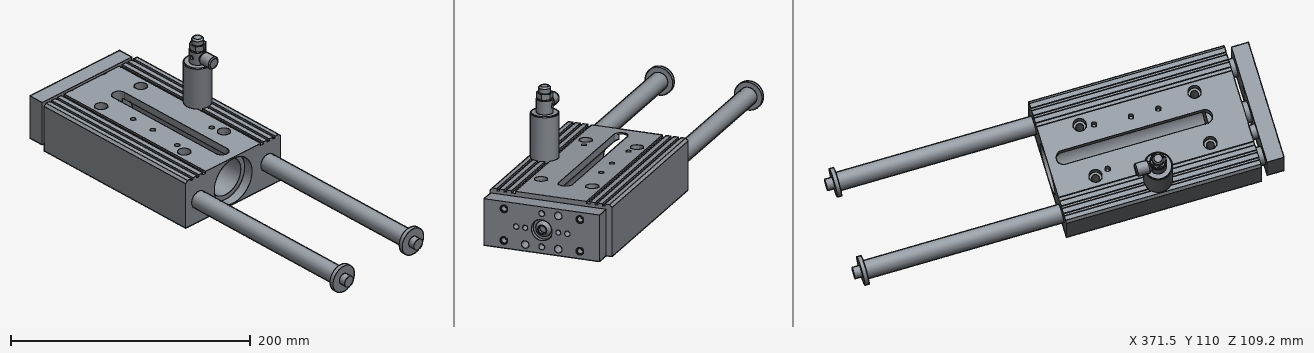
import cadquery as cq


total_length = 371.5
total_height = 109.2
housing_width = 110.0

housing_front_x = 20.5
housing_length = 170.0
housing_height = 46.0
housing_rear_x = housing_front_x + housing_length
axis_z = housing_height / 2
top_edge_chamfer = 2.2
groove_depth = 2.0
top_grooves = [(32.0, 3.5), (39.8, 2.2), (46.5, 2.2)]

bore_diameter = 35.0
bore_front_x = 51.5
rear_bore_diameter = 44.0
rear_bore_front_x = 181.5
slot_front_x = 47.0
slot_rear_x = 182.8
slot_width = 12.3
slot_depth = 9.5

mount_front_x = 55.7
mount_rear_x = 155.5
mount_y = 23.0
mount_hole_diameter = 6.7
mount_bore_diameter = 11.0
mount_bore_depth = 8.0
pin_hole_diameter = 4.5
pin_hole_depth = 8.0
pin_hole_places = [(144.0, 20.0), (144.0, -20.0), (88.8, -18.0), (112.5, -18.0)]

guide_y = 40.0
tower_x = 106.2
tower_y = guide_y
tower_diameter = 24.0
tower_top_z = 86.0
tower_edge_chamfer = 0.7
fitting_diameter = 14.0
fitting_chamfer = 0.7
nut_bottom_z = 98.5
nut_top_z = 103.5
cap_diameter = 10.0
cap_chamfer = 1.5
fitting_hole_diameter = 3.5
fitting_hole_depth = 2.0
outlet_z = 92.0
outlet_neck_diameter = 8.0
outlet_diameter = 11.0
outlet_front_x = 114.5
outlet_rear_x = 126.0
outlet_chamfer = 1.0

rod_diameter = 16.0
rod_z_shift = 1.0
flange_diameter = 25.0
flange_front_x = 361.5
flange_rear_x = 365.0
tip_diameter = 10.0

plate_thickness = 15.0
plate_width = 104.0
plate_height = 41.5
corner_hole_y = 34.0
corner_hole_z = 14.0
corner_hole_diameter = 5.0
corner_sink_diameter = 6.7
corner_sink_depth = 1.0
thread_hole_depth = 8.0
square_pattern = 15.0
screw_hole_diameter = 6.7
vertical_hole_diameter = 5.2
inner_hole_diameter = 4.5
outer_hole_diameter = 5.0
outer_hole_y = 23.0

recess_diameter = 18.5
recess_depth = 4.0
head_diameter = 14.0
head_tip_diameter = 8.0
head_height = 3.0
socket_diameter = 6.7
piston_rod_diameter = 18.5
bumper_diameter = 12.5
bumper_y = 21.0
bumper_z = 34.5


def x_cylinder(x_start, x_end, y, z, diameter):
    """Cylinder along X between two X positions."""
    return (
        cq.Workplane("YZ", origin=(x_start, y, z))
        .circle(diameter / 2)
        .extrude(x_end - x_start)
    )


def z_cylinder(x, y, z_start, z_end, diameter):
    """Cylinder along Z between two heights."""
    return (
        cq.Workplane("XY", origin=(x, y, z_start))
        .circle(diameter / 2)
        .extrude(z_end - z_start)
    )


rod_places = [(guide_y, axis_z + rod_z_shift), (-guide_y, axis_z - rod_z_shift)]


def make_block():
    """Extruded housing profile with chamfered top edges and long grooves."""
    block = (
        cq.Workplane("XY", origin=(housing_front_x, 0, 0))
        .box(housing_length, housing_width, housing_height, centered=(False, True, False))
        .edges("|X and >Z")
        .chamfer(top_edge_chamfer)
    )
    for inner_edge, width in top_grooves:
        for side in (-1, 1):
            groove_y = side * (inner_edge + width / 2)
            groove = (
                cq.Workplane("XY", origin=(housing_front_x, groove_y, housing_height - groove_depth))
                .box(housing_length, width, groove_depth, centered=(False, True, False))
            )
            block = block.cut(groove)
    return block


def make_stop_tower():
    """Stop cylinder with its fitting, hexagon nut, cap and side outlet."""
    foot_z = housing_height - groove_depth
    tower = (
        z_cylinder(tower_x, tower_y, foot_z, tower_top_z, tower_diameter)
        .faces(">Z")
        .chamfer(tower_edge_chamfer)
    )
    fitting = (
        z_cylinder(tower_x, tower_y, tower_top_z, nut_bottom_z, fitting_diameter)
        .faces(">Z")
        .chamfer(fitting_chamfer)
    )
    nut = (
        cq.Workplane("XY", origin=(tower_x, tower_y, nut_bottom_z))
        .polygon(6, fitting_diameter)
        .extrude(nut_top_z - nut_bottom_z)
    )
    cap = (
        z_cylinder(tower_x, tower_y, nut_top_z, total_height, cap_diameter)
        .faces(">Z")
        .chamfer(cap_chamfer)
    )
    outlet_neck = x_cylinder(tower_x, outlet_front_x, tower_y, outlet_z, outlet_neck_diameter)
    outlet = (
        x_cylinder(outlet_front_x, outlet_rear_x, tower_y, outlet_z, outlet_diameter)
        .faces(">X")
        .chamfer(outlet_chamfer)
    )
    for piece in (fitting, nut, cap, outlet_neck, outlet):
        tower = tower.union(piece)

    fitting_hole = (
        cq.Workplane("XZ", origin=(tower_x, tower_y - fitting_diameter / 2, outlet_z))
        .circle(fitting_hole_diameter / 2)
        .extrude(fitting_hole_depth, both=True)
    )
    return tower.cut(fitting_hole)


def cut_bore_and_slot(block):
    """Cylinder bore widened at its open rear end, and the round-ended slot above it."""
    bore = x_cylinder(bore_front_x, housing_rear_x, 0, axis_z, bore_diameter)
    rear_bore = x_cylinder(rear_bore_front_x, housing_rear_x, 0, axis_z, rear_bore_diameter)
    slot_centre_x = (slot_front_x + slot_rear_x) / 2
    slot = (
        cq.Workplane("XY", origin=(slot_centre_x, 0, housing_height - slot_depth))
        .slot2D(slot_rear_x - slot_front_x, slot_width)
        .extrude(slot_depth)
    )
    return block.cut(bore).cut(rear_bore).cut(slot)


def cut_top_holes(block):
    """Counterbored mounting holes and blind pin holes."""
    for x in (mount_front_x, mount_rear_x):
        for y in (-mount_y, mount_y):
            through = z_cylinder(x, y, 0, housing_height, mount_hole_diameter)
            counterbore = z_cylinder(
                x, y, housing_height - mount_bore_depth, housing_height, mount_bore_diameter
            )
            block = block.cut(through).cut(counterbore)
    for x, y in pin_hole_places:
        pin_hole = z_cylinder(
            x, y, housing_height - pin_hole_depth, housing_height, pin_hole_diameter
        )
        block = block.cut(pin_hole)
    return block


def make_housing():
    """Housing block with its tower, bore, slot, holes and rod passages."""
    body = cut_top_holes(cut_bore_and_slot(make_block()))
    body = body.union(make_stop_tower())
    for y, z in rod_places:
        body = body.cut(x_cylinder(housing_front_x, housing_rear_x, y, z, rod_diameter))
    return body


def make_guide_rod(y, z):
    """Guide rod with its end flange and tip."""
    rod = x_cylinder(plate_thickness, flange_front_x, y, z, rod_diameter)
    flange = x_cylinder(flange_front_x, flange_rear_x, y, z, flange_diameter)
    tip = x_cylinder(flange_rear_x, total_length, y, z, tip_diameter)
    return rod.union(flange).union(tip)


def cut_plate_holes(plate):
    """Hole pattern in the front face of the plate."""
    for y in (-corner_hole_y, corner_hole_y):
        for z in (axis_z - corner_hole_z, axis_z + corner_hole_z):
            hole = x_cylinder(0, thread_hole_depth, y, z, corner_hole_diameter)
            sink = x_cylinder(0, corner_sink_depth, y, z, corner_sink_diameter)
            plate = plate.cut(hole).cut(sink)

    for y_side, z_side in ((-1, 1), (-1, -1), (1, -1)):
        y = y_side * square_pattern
        z = axis_z + z_side * square_pattern
        plate = plate.cut(x_cylinder(0, plate_thickness, y, z, screw_hole_diameter))

    for side in (-1, 1):
        thread_holes = [
            (0, side * square_pattern, vertical_hole_diameter),
            (side * square_pattern, 0, inner_hole_diameter),
            (side * outer_hole_y, 0, outer_hole_diameter),
        ]
        for y, z_offset, diameter in thread_holes:
            hole = x_cylinder(0, thread_hole_depth, y, axis_z + z_offset, diameter)
            plate = plate.cut(hole)
    return plate


def add_rod_screw(plate):
    """Central recess holding a conical screw head with a socket."""
    recess = x_cylinder(0, recess_depth, 0, axis_z, recess_diameter)
    head = (
        cq.Workplane("YZ", origin=(recess_depth, 0, axis_z))
        .circle(head_diameter / 2)
        .workplane(offset=-head_height)
        .circle(head_tip_diameter / 2)
        .loft()
    )
    socket = x_cylinder(recess_depth - head_height, recess_depth, 0, axis_z, socket_diameter)
    return plate.cut(recess).union(head.cut(socket))


def make_slide():
    """Front plate with guide rods, piston rod end and bumper."""
    plate = (
        cq.Workplane("XY", origin=(0, 0, axis_z))
        .box(plate_thickness, plate_width, plate_height, centered=(False, True, True))
    )
    body = add_rod_screw(cut_plate_holes(plate))

    piston_rod = x_cylinder(plate_thickness, housing_front_x, 0, axis_z, piston_rod_diameter)
    bumper = x_cylinder(plate_thickness, housing_front_x, bumper_y, bumper_z, bumper_diameter)
    body = body.union(piston_rod).union(bumper)

    for y, z in rod_places:
        body = body.union(make_guide_rod(y, z))
    return body


housing = make_housing()
slide = make_slide()

result = cq.Compound.makeCompound([housing.val(), slide.val()])